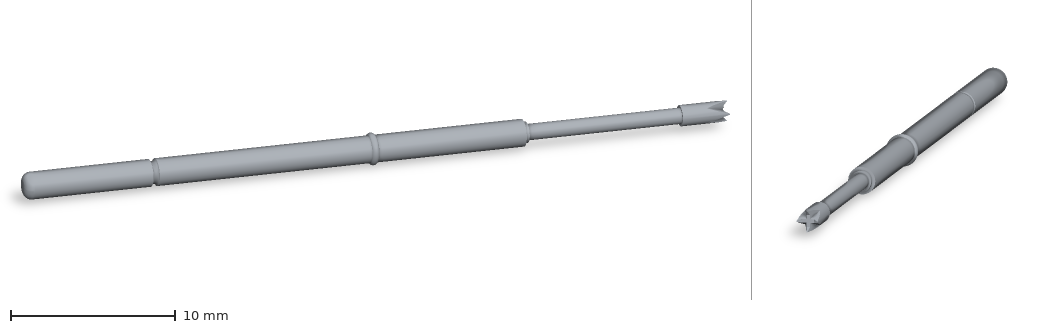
import cadquery as cq
import math

total_length = 44.8

barrel_radius = 1.7 / 2
barrel_length = 31.8
tail_round = 0.5
lip_radius = 1.3 / 2
lip_length = 0.25

ring_radius = 2.0 / 2
ring_center = 22.2
ring_width = 0.45

crimp_center = 8.25
crimp_width = 0.4
crimp_depth = 0.15

plunger_radius = 1.0 / 2
head_radius = 1.3 / 2
head_length = 3.0
tooth_count = 4
tooth_land = 0.06
dish_depth = 0.28
dish_floor_radius = 0.38

groove_axis_depth = -0.1
groove_rim_depth = 1.4
groove_floor_slope = (groove_rim_depth - groove_axis_depth) / head_radius
groove_clearance = 0.3
tip_angle = math.pi / tooth_count - tooth_land / (2 * head_radius)
tip_offset = head_radius * math.sin(tip_angle)
tip_distance = head_radius * math.cos(tip_angle)
flank_slope = (groove_axis_depth + groove_floor_slope * tip_distance) / tip_offset


def cylinder(radius, y_start, y_end):
    """Cylinder on the Y axis between two stations."""
    disc = cq.Workplane("XZ", origin=(0, y_start, 0)).circle(radius)
    return disc.extrude(y_start - y_end)


def make_barrel():
    """Tube body with a rounded tail and a rolled lip at the plunger end."""
    body = cylinder(barrel_radius, 0, barrel_length).faces("<Y").edges().fillet(tail_round)
    lip = cylinder(lip_radius, barrel_length, barrel_length + lip_length)
    return body.union(lip)


def make_press_ring():
    """Ring whose outer face is a single circular arc rising from the barrel."""
    half_width = ring_width / 2
    section = (
        cq.Workplane("XY")
        .moveTo(0, ring_center - half_width)
        .lineTo(barrel_radius, ring_center - half_width)
        .threePointArc(
            (ring_radius, ring_center),
            (barrel_radius, ring_center + half_width),
        )
        .lineTo(0, ring_center + half_width)
        .close()
    )
    return section.revolve(360, (0, 0, 0), (0, 1, 0))


def make_crimp_groove():
    """Ring-shaped cutter whose section is a shallow circular arc."""
    half_width = crimp_width / 2
    outside = ring_radius
    section = (
        cq.Workplane("XY")
        .moveTo(outside, crimp_center - half_width)
        .lineTo(barrel_radius, crimp_center - half_width)
        .threePointArc(
            (barrel_radius - crimp_depth, crimp_center),
            (barrel_radius, crimp_center + half_width),
        )
        .lineTo(outside, crimp_center + half_width)
        .close()
    )
    return section.revolve(360, (0, 0, 0), (0, 1, 0))


def make_plunger():
    """Slim shaft carrying the wider head."""
    shaft = cylinder(plunger_radius, barrel_length, total_length)
    head = cylinder(head_radius, total_length - head_length, total_length)
    return shaft.union(head)


def make_crown_dish():
    """Shallow cone with a flat floor, opening out to the full rim of the head."""
    floor_y = total_length - dish_depth
    section = (
        cq.Workplane("XY")
        .moveTo(0, floor_y)
        .lineTo(dish_floor_radius, floor_y)
        .lineTo(head_radius, total_length)
        .lineTo(0, total_length)
        .close()
    )
    return section.revolve(360, (0, 0, 0), (0, 1, 0))


def crown_groove_section(distance):
    """V-section of a crown groove, standing across it at a distance from the pin axis."""
    depth = groove_axis_depth + distance * groove_floor_slope
    half_width = (depth + groove_clearance) / flank_slope
    corners = [(-half_width, groove_clearance), (0, -depth), (half_width, groove_clearance)]
    return [cq.Vector(x, total_length + y, distance) for x, y in corners]


def make_crown_groove(angle):
    """V-groove whose floor falls outward from the pin axis."""
    sections = []
    for distance in (0, 2 * head_radius):
        sections.append(cq.Wire.makePolygon(crown_groove_section(distance), close=True))
    groove = cq.Solid.makeLoft(sections, True)
    return groove.rotate(cq.Vector(0, 0, 0), cq.Vector(0, 1, 0), angle)


pin = make_barrel().union(make_press_ring()).union(make_plunger())
pin = pin.cut(make_crimp_groove()).cut(make_crown_dish())

tooth_pitch = 360 / tooth_count
for index in range(tooth_count):
    pin = pin.cut(cq.Workplane(make_crown_groove((index + 0.5) * tooth_pitch)))

result = pin